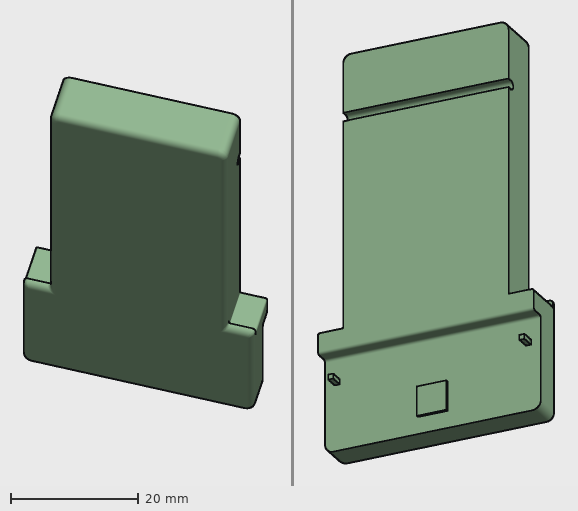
import cadquery as cq

HEIGHT = 67.3
DEPTH = 8.2
FOOT_WIDTH = 37.7
TOWER_WIDTH = 28.9

LIP_TOP = 20.8
LIP_DEPTH = 1.3
SHOULDER_TOP = 19.8

FRONT_RADIUS = 1.1
END_CORNER_RADIUS = 1.5
LIP_CORNER_RADIUS = 0.6
LIP_ROOT_RADIUS = 0.5
SHOULDER_CORNER_RADIUS = 0.4
SHOULDER_ROOT_RADIUS = 0.15
STEP_RADIUS = 0.5

STEP_TOP = 16.15
STEP_DEPTH = 2.55
STEP_FACE = DEPTH - STEP_DEPTH

GROOVE_CENTER = 56.5
GROOVE_WIDTH = 1.5
GROOVE_DEPTH = 1.7

TAB_SIZE = 0.9
TAB_LENGTH = 2.35
TAB_CENTER = 11.9
TAB_SIDE_INSET = 2.15
PAD_SIZE = 5.1
PAD_HEIGHT = 0.5
PAD_BOTTOM = 2.95

SELECTION_MARGIN = 0.1


def block(width, front, back, bottom, top):
    """Box centred on X between the given front, back, bottom and top positions."""
    box = cq.Workplane("XY").box(width, back - front, top - bottom, centered=(True, False, False))
    return box.translate((0, front, bottom))


def edge_box(width, front, back, level):
    """Selector for edges centred within a width and depth range at one height."""
    half_width = width / 2 + SELECTION_MARGIN
    return cq.selectors.BoxSelector(
        (-half_width, front - SELECTION_MARGIN, level - SELECTION_MARGIN),
        (half_width, back + SELECTION_MARGIN, level + SELECTION_MARGIN),
    )


def make_tower():
    """Tall block starting inside the foot, rounded along its front and its upper corners."""
    tower = block(TOWER_WIDTH, 0, DEPTH, STEP_TOP, HEIGHT)
    tower = tower.edges("|Y and >Z").fillet(END_CORNER_RADIUS)
    return tower.faces("<Y").edges("not <Z").fillet(FRONT_RADIUS)


def make_foot():
    """Wide block with a rounded front and a shoulder lowered behind the lip."""
    foot = block(FOOT_WIDTH, 0, DEPTH, 0, LIP_TOP)
    foot = foot.edges("|Y and <Z").fillet(END_CORNER_RADIUS)
    foot = foot.faces("<Y").edges().fillet(FRONT_RADIUS)
    foot = foot.edges("|Y and >Z").fillet(LIP_CORNER_RADIUS)
    foot = foot.cut(block(FOOT_WIDTH, LIP_DEPTH, DEPTH, SHOULDER_TOP, LIP_TOP))
    shoulder_corners = foot.edges(edge_box(FOOT_WIDTH, LIP_DEPTH, DEPTH, SHOULDER_TOP))
    return shoulder_corners.edges("|Y").fillet(SHOULDER_CORNER_RADIUS)


def round_roots(body):
    """Round the inner corners where the tower rises from the shoulders and the lip."""
    for front, back, level, radius in (
        (LIP_DEPTH, DEPTH, SHOULDER_TOP, SHOULDER_ROOT_RADIUS),
        (0, LIP_DEPTH, LIP_TOP, LIP_ROOT_RADIUS),
    ):
        roots = body.edges(edge_box(TOWER_WIDTH, front, back, level))
        body = roots.edges("|Y").fillet(radius)
    return body


def cut_step(body):
    """Thin the lower back, rounding the step's inner and outer corners."""
    body = body.cut(block(FOOT_WIDTH, STEP_FACE, DEPTH, 0, STEP_TOP))
    for y in (STEP_FACE, DEPTH):
        body = body.edges(edge_box(FOOT_WIDTH, y, y, STEP_TOP)).edges("|X").fillet(STEP_RADIUS)
    return body


def make_groove():
    radius = GROOVE_WIDTH / 2
    straight = GROOVE_DEPTH - radius
    bottom = GROOVE_CENTER - radius
    top = GROOVE_CENTER + radius
    return (
        cq.Workplane("YZ")
        .moveTo(DEPTH, bottom)
        .hLine(-straight)
        .threePointArc((DEPTH - GROOVE_DEPTH, GROOVE_CENTER), (DEPTH - straight, top))
        .hLine(straight)
        .close()
        .extrude(TOWER_WIDTH / 2, both=True)
    )


def make_tabs():
    side = FOOT_WIDTH / 2 - TAB_SIDE_INSET
    step_plane = cq.Workplane("XZ", origin=(0, STEP_FACE, TAB_CENTER))
    return step_plane.pushPoints([(-side, 0), (side, 0)]).rect(TAB_SIZE, TAB_SIZE).extrude(-TAB_LENGTH)


def make_pad():
    return block(PAD_SIZE, STEP_FACE, STEP_FACE + PAD_HEIGHT, PAD_BOTTOM, PAD_BOTTOM + PAD_SIZE)


body = round_roots(make_tower().union(make_foot()))
body = cut_step(body).cut(make_groove())
result = body.union(make_tabs()).union(make_pad())